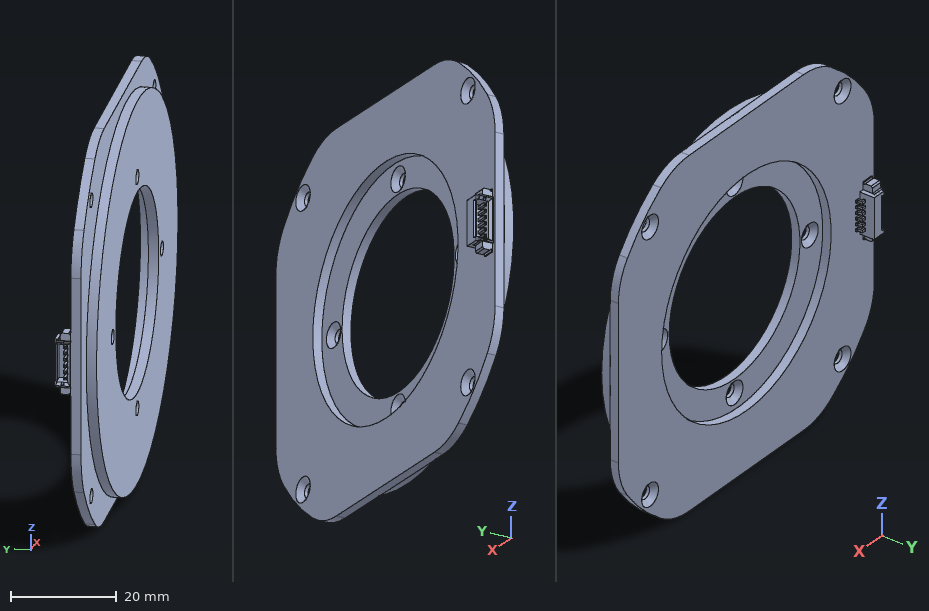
import cadquery as cq
import math

overall_depth = 8.2
plate_thickness = 2.0
plate_gap = 0.8

disk_front = -overall_depth / 2
disk_back = disk_front + plate_thickness
board_front = disk_back + plate_gap
board_back = board_front + plate_thickness

board_width = 80.0
corner_radius = 45.8
blend_radius = 15.0
board_bore_diameter = 53.0
disk_bore_diameter = 40.8
disk_diameter = 78.0
hole_diameter = 2.8
sink_diameter = 5.2
disk_hole_offset = 23.5
corner_hole_offset = 30.1

shell_front = -39.4
prong_front = -38.6
roof_front = -38.1
roof_bevel = 0.2
rear_wall_front = -36.5
shell_rear = -35.4
shell_height = overall_depth / 2 - board_back
prong_base = 3.0
shell_half_width = 4.7
cavity_half_width = 3.8
floor_thickness = 0.8
mouth_flare = 0.6
key_slot_low = 1.5
key_slot_high = 2.0

groove_depth = 0.2
groove_bottom = 2.2
groove_top = 2.7

tab_front = -39.1
tab_low = 0.2
tab_top = 2.2
tab_half_width = 6.2
tab_chamfer = 0.3
foot_half_width = 6.5

contact_count = 6
contact_pitch = 1.3
contact_width = 0.6
contact_low = 1.1
contact_high = 1.7
contact_tip = -38.9
tip_chamfer = 0.2
lead_low = 0.9
lead_high = 1.4
lead_rear = -34.5
leg_thickness = 0.5
foot_rear = -34.2
foot_thickness = 0.3


def plate_sketch(y):
    """Sketch plane facing -Y at the given y, with X right and Z up."""
    return cq.Workplane("XZ", origin=(0, y, 0))


def box(x_min, x_max, low, high, z_min, z_max):
    """Block whose low and high are heights above the back of the board."""
    size = (x_max - x_min, high - low, z_max - z_min)
    return cq.Workplane("XY").box(*size, centered=False).translate((x_min, board_back + low, z_min))


def countersunk_holes(back, positions):
    """Cutter for holes at the (x, z) positions, countersunk in the plate face at y = back."""
    centres = plate_sketch(back).pushPoints(positions)
    holes = centres.circle(hole_diameter / 2).extrude(plate_thickness)
    sink_depth = (sink_diameter - hole_diameter) / 2
    into_plate = cq.Vector(0, -1, 0)
    sink = cq.Solid.makeCone(sink_diameter / 2, hole_diameter / 2, sink_depth, dir=into_plate)
    for x, z in positions:
        holes = holes.union(cq.Workplane(sink.translate(cq.Vector(x, back, z))))
    return holes


def make_disk():
    """Flat ring with four holes on its X and Z axes."""
    disk = (
        plate_sketch(disk_back)
        .circle(disk_diameter / 2)
        .circle(disk_bore_diameter / 2)
        .extrude(plate_thickness)
    )
    reach = disk_hole_offset
    return disk.cut(countersunk_holes(disk_back, [(reach, 0), (0, reach), (-reach, 0), (0, -reach)]))


def make_board():
    """Square plate whose corners are arcs about the centre, blended into the sides."""
    half = board_width / 2
    blend_centre = half - blend_radius
    side_end = math.sqrt((corner_radius - blend_radius) ** 2 - blend_centre**2)
    arc_start_angle = math.atan2(side_end, blend_centre)
    blend_middle_angle = arc_start_angle / 2

    arc_start = (corner_radius * math.cos(arc_start_angle), corner_radius * math.sin(arc_start_angle))
    blend_middle = (
        blend_centre + blend_radius * math.cos(blend_middle_angle),
        side_end + blend_radius * math.sin(blend_middle_angle),
    )
    diagonal = corner_radius / math.sqrt(2)

    def turned(point, quarters):
        """Point after the given number of quarter turns about the centre."""
        x, z = point
        for _ in range(quarters):
            x, z = -z, x
        return x, z

    outline = plate_sketch(board_back).moveTo(half, -side_end)
    for quarters in range(4):
        outline = (
            outline.lineTo(*turned((half, side_end), quarters))
            .threePointArc(turned(blend_middle, quarters), turned(arc_start, quarters))
            .threePointArc(turned((diagonal, diagonal), quarters), turned(arc_start[::-1], quarters))
            .threePointArc(turned(blend_middle[::-1], quarters), turned((side_end, half), quarters))
        )
    board = outline.close().extrude(plate_thickness)

    bore = plate_sketch(board_back).circle(board_bore_diameter / 2).extrude(plate_thickness)
    corners = [turned((corner_hole_offset, corner_hole_offset), quarters) for quarters in range(4)]
    return board.cut(bore).cut(countersunk_holes(board_back, corners))


def mouth_cutter():
    """Opening at the -X end of the cavity, flared at its sides and floor."""
    low = board_back + floor_thickness
    high = board_back + prong_base
    half = cavity_half_width
    wide = half + mouth_flare
    return (
        cq.Workplane("YZ", origin=(shell_front, 0, 0))
        .polyline([(low - mouth_flare, -wide), (high, -wide), (high, wide), (low - mouth_flare, wide)])
        .close()
        .workplane(offset=mouth_flare)
        .polyline([(low, -half), (high, -half), (high, half), (low, half)])
        .close()
        .loft()
    )


def groove_cutter():
    """Groove of one outer side (+Z); its lower flank slopes outwards."""
    outer = shell_half_width
    bottom = board_back + groove_bottom
    top = board_back + groove_top
    return (
        cq.Workplane("YZ", origin=(tab_front, 0, 0))
        .polyline([(bottom, outer), (top, outer), (top, outer - groove_depth)])
        .close()
        .extrude(rear_wall_front - tab_front)
    )


def make_shell():
    """Hollow shell with an open front, a cut-back roof and a prong at each side."""
    width = shell_half_width
    shell = box(shell_front, shell_rear, 0, shell_height, -width, width)
    shell = shell.cut(box(shell_front, prong_front, prong_base, shell_height, -width, width))

    inner = cavity_half_width
    shell = shell.cut(box(shell_front, rear_wall_front, floor_thickness, prong_base, -inner, inner))
    roof_notch = (
        cq.Workplane("XY", origin=(0, board_back, -inner))
        .moveTo(shell_front, prong_base)
        .lineTo(roof_front, prong_base)
        .lineTo(roof_front, shell_height - roof_bevel)
        .lineTo(roof_front + roof_bevel, shell_height)
        .lineTo(shell_front, shell_height)
        .close()
        .extrude(2 * inner)
    )
    shell = shell.cut(roof_notch)
    shell = shell.cut(mouth_cutter())

    slot = inner + mouth_flare
    shell = shell.cut(box(shell_front, shell_front + mouth_flare, key_slot_low, key_slot_high, -slot, slot))

    groove = groove_cutter()
    return shell.cut(groove).cut(groove.mirror("XY"))


def make_tab():
    """Solder tab on the +Z side, with a foot on the board."""
    tab = (
        box(tab_front, rear_wall_front, tab_low, tab_top, shell_half_width, tab_half_width)
        .faces(">Z")
        .edges("|X")
        .chamfer(tab_chamfer)
    )
    foot = box(tab_front, rear_wall_front, 0, tab_low, shell_half_width, foot_half_width)
    return tab.union(foot)


def make_contact(z):
    """Pin inside the cavity and the lead that bends down behind the shell."""
    z_min = z - contact_width / 2
    z_max = z + contact_width / 2
    pin = (
        box(contact_tip, rear_wall_front, contact_low, contact_high, z_min, z_max)
        .faces("<X")
        .chamfer(tip_chamfer)
    )
    lead = box(shell_rear, lead_rear, lead_low, lead_high, z_min, z_max)
    leg = box(lead_rear - leg_thickness, lead_rear, 0, lead_high, z_min, z_max)
    foot = box(lead_rear, foot_rear, 0, foot_thickness, z_min, z_max)
    return pin, lead.union(leg).union(foot)


def make_connector():
    """Shell, solder tabs and contacts joined into one body."""
    connector = make_shell()
    tab = make_tab()
    connector = connector.union(tab).union(tab.mirror("XY"))
    for index in range(contact_count):
        z = (index - (contact_count - 1) / 2) * contact_pitch
        for piece in make_contact(z):
            connector = connector.union(piece)
    return connector


disk = make_disk()
board = make_board()
connector = make_connector()

result = cq.Compound.makeCompound([disk.val(), board.val(), connector.val()])